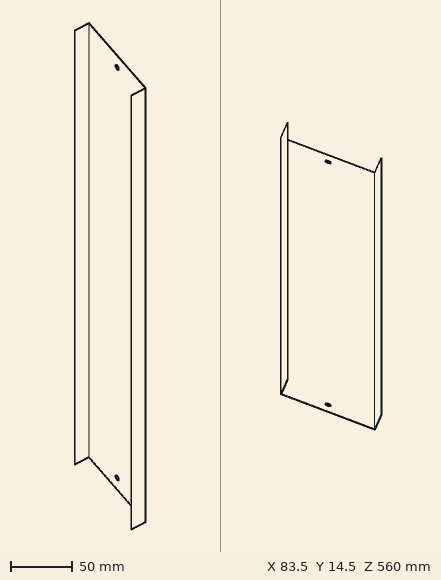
import cadquery as cq

length = 560.0
width = 83.5
depth = 14.5
thickness = 0.8
hole_diameter = 5.0
hole_end_distance = 15.0

channel = cq.Workplane("XY").box(width, depth, length)
cavity = (
    cq.Workplane("XY")
    .box(width - 2 * thickness, depth, length)
    .translate((0, -thickness, 0))
)
channel = channel.cut(cavity)

hole_height = length / 2 - hole_end_distance
holes = (
    cq.Workplane("XZ", origin=(0, depth / 2, 0))
    .pushPoints([(0, hole_height), (0, -hole_height)])
    .circle(hole_diameter / 2)
    .extrude(2 * thickness, both=True)
)
result = channel.cut(holes)